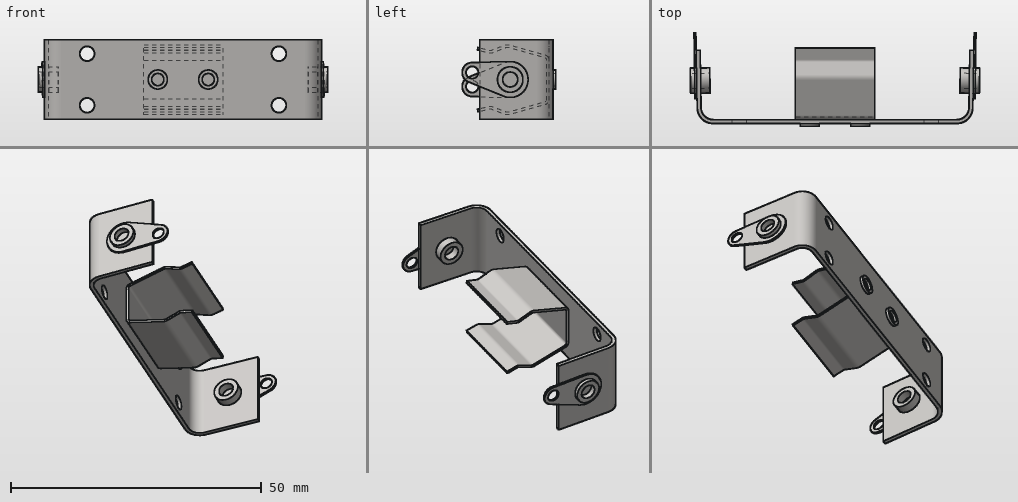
import cadquery as cq
import math

overall_length = 57.8
bracket_height = 15.9

sheet = 0.8
bend_radius = 3.2
leg_length = 11.5
leg_splay = math.radians(0.9)
mount_hole_radius = 1.45
mount_hole_x = 19.15
mount_hole_z = 5.15

boss_x = 5.0
boss_radius = 1.9
boss_bore_radius = 1.2
boss_height = 0.6

clip_width = 15.95
clip_sheet = 0.5
clip_base_half = 3.9
root_outer_radius = 1.1
arm_length = 7.35
crest_outer_radius = 1.7
neck_length = 2.8
trough_outer_radius = 0.7
lip_length = 2.3
arm_angle = 15.6
neck_angle = -20.8
lip_angle = 14.0

lug_sheet = 0.4
lug_head_radius = 3.6
lug_tail_radius = 2.0
lug_tail_hole_radius = 1.2
lug_tail_reach = 7.6
lug_tail_rise = 1.4
eyelet_radius = 2.55
eyelet_bore_radius = 1.5
eyelet_along_leg = 5.45
eyelet_outer_height = 1.3
eyelet_inner_height = 1.85

leg_spread = (
    (bend_radius + eyelet_outer_height) * math.cos(leg_splay)
    + (eyelet_along_leg + eyelet_radius) * math.sin(leg_splay)
)
bend_center_x = leg_spread - overall_length / 2
bend_center_y = bend_radius

leg_direction = cq.Vector(-math.sin(leg_splay), math.cos(leg_splay), 0)
leg_normal = cq.Vector(-math.cos(leg_splay), -math.sin(leg_splay), 0)


def leg_point(radius, distance):
    """Point beside the -X leg: radius from the bend centre, distance past the end of the bend."""
    center = cq.Vector(bend_center_x, bend_center_y, 0)
    return center + leg_normal * radius + leg_direction * distance


def bend_middle(radius):
    """Point halfway round the -X corner at the given radius."""
    floor_angle = math.radians(270)
    leg_angle = math.radians(180) + leg_splay
    angle = (floor_angle + leg_angle) / 2
    return (bend_center_x + radius * math.cos(angle), bend_center_y + radius * math.sin(angle))


def xy(point):
    return (point.x, point.y)


def eyelet_frame(height):
    """Plane at a height above the outer face of the -X leg: local X is +Z, local Y runs along it."""
    origin = leg_point(bend_radius + height, eyelet_along_leg)
    return cq.Plane(origin=origin, xDir=(0, 0, 1), normal=leg_normal)


def cylinder(height_from, height_to, radius):
    """Cylinder on the eyelet axis, between two heights above the outer face of the leg."""
    return cq.Workplane(eyelet_frame(height_from)).circle(radius).extrude(height_to - height_from)


def bracket_sheet():
    inner_radius = bend_radius - sheet
    half = (
        cq.Workplane("XY", origin=(0, 0, -bracket_height / 2))
        .moveTo(0, 0)
        .lineTo(bend_center_x, 0)
        .threePointArc(bend_middle(bend_radius), xy(leg_point(bend_radius, 0)))
        .lineTo(*xy(leg_point(bend_radius, leg_length)))
        .lineTo(*xy(leg_point(inner_radius, leg_length)))
        .lineTo(*xy(leg_point(inner_radius, 0)))
        .threePointArc(bend_middle(inner_radius), (bend_center_x, sheet))
        .lineTo(0, sheet)
        .close()
        .extrude(bracket_height)
    )
    return half.union(half.mirror("YZ"))


def mount_holes():
    return (
        cq.Workplane("XZ")
        .rect(2 * mount_hole_x, 2 * mount_hole_z, forConstruction=True)
        .vertices()
        .circle(mount_hole_radius)
        .extrude(-sheet)
    )


def floor_bosses():
    return (
        cq.Workplane("XZ")
        .pushPoints([(-boss_x, 0), (boss_x, 0)])
        .circle(boss_radius)
        .circle(boss_bore_radius)
        .extrude(boss_height)
    )


def step(angle, distance):
    """Vector of a given length, at an angle in degrees from +Y towards +Z."""
    turn = math.radians(angle)
    return cq.Vector(0, distance * math.cos(turn), distance * math.sin(turn))


def bend(start, radius, heading, new_heading):
    """Arc that leaves its start along one heading and ends along another."""
    side = 90 if new_heading > heading else -90
    center = start + step(heading + side, radius)
    middle = center + step((heading + new_heading) / 2 - side, radius)
    end = center + step(new_heading - side, radius)
    return cq.Edge.makeThreePointArc(start, middle, end)


def straight(start, length, heading):
    return cq.Edge.makeLine(start, start + step(heading, length))


def clip_arm():
    """The +Z arm of the clip and its half of the base, swept along the middle of the sheet."""
    half_sheet = clip_sheet / 2
    root_radius = root_outer_radius - half_sheet
    crest_radius = crest_outer_radius - half_sheet
    trough_radius = trough_outer_radius + half_sheet
    base_angle = 90

    base = straight(cq.Vector(0, sheet + half_sheet, 0), clip_base_half, base_angle)
    root = bend(base.endPoint(), root_radius, base_angle, arm_angle)
    arm = straight(root.endPoint(), arm_length, arm_angle)
    crest = bend(arm.endPoint(), crest_radius, arm_angle, neck_angle)
    neck = straight(crest.endPoint(), neck_length, neck_angle)
    trough = bend(neck.endPoint(), trough_radius, neck_angle, lip_angle)
    lip = straight(trough.endPoint(), lip_length, lip_angle)

    path = cq.Wire.assembleEdges([base, root, arm, crest, neck, trough, lip])
    strip = cq.Workplane("XY", origin=base.startPoint().toTuple()).rect(clip_width, clip_sheet)
    return strip.sweep(cq.Workplane(path))


def eyelet_holes():
    left_hole = cylinder(-sheet, 0, eyelet_radius)
    return left_hole.union(left_hole.mirror("YZ"))


def make_bracket():
    """Bent sheet with its floor bosses and the two arms of the clip, all one piece."""
    arm = clip_arm()
    return (
        bracket_sheet()
        .cut(mount_holes())
        .cut(eyelet_holes())
        .union(floor_bosses())
        .union(arm)
        .union(arm.mirror("XY"))
    )


def lug_plate():
    """Lug lying on the leg: the outline that wraps the head and the tail, with the tail hole."""
    reach = math.hypot(lug_tail_reach, lug_tail_rise)
    tail_angle = math.atan2(lug_tail_reach, lug_tail_rise)
    tangent_angle = math.acos((lug_head_radius - lug_tail_radius) / reach)

    def on_head(angle):
        return (lug_head_radius * math.cos(angle), lug_head_radius * math.sin(angle))

    def on_tail(angle):
        return (
            lug_tail_rise + lug_tail_radius * math.cos(angle),
            lug_tail_reach + lug_tail_radius * math.sin(angle),
        )

    under_side = tail_angle + tangent_angle
    top_side = tail_angle - tangent_angle
    return (
        cq.Workplane(eyelet_frame(0))
        .moveTo(*on_head(under_side))
        .threePointArc(on_head(tail_angle + math.pi), on_head(top_side))
        .lineTo(*on_tail(top_side))
        .threePointArc(on_tail(tail_angle), on_tail(under_side))
        .close()
        .moveTo(lug_tail_rise, lug_tail_reach)
        .circle(lug_tail_hole_radius)
        .extrude(lug_sheet)
    )


def make_contact():
    """Contact on the -X leg; its bores stop at the leg faces, leaving a web as thick as the leg."""
    inner_end = -sheet - eyelet_inner_height
    return (
        lug_plate()
        .union(cylinder(inner_end, eyelet_outer_height, eyelet_radius))
        .cut(cylinder(0, eyelet_outer_height, eyelet_bore_radius))
        .cut(cylinder(inner_end, -sheet, eyelet_bore_radius))
    )


left_contact = make_contact()
contacts = [left_contact.rotate((0, 0, 0), (0, 1, 0), turn) for turn in (0, 180)]
bracket = make_bracket()

result = cq.Compound.makeCompound([bracket.val(), *[contact.val() for contact in contacts]])